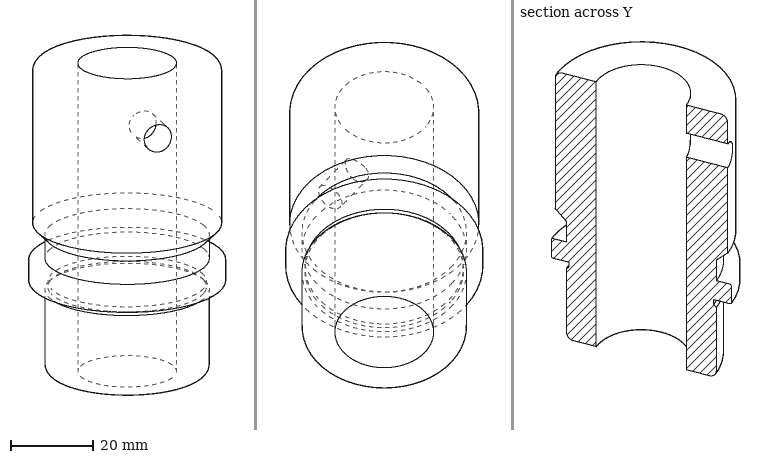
import cadquery as cq
import math

total_height = 79.0
bore_radius = 12.0

head_radius = 23.0
head_bottom_z = 38.0

seat_radius = 20.0

rim_fillet = 2.0

collar_radius = 24.0
collar_bottom_z = 23.0
collar_height = 6.0
collar_fillet = 0.5

groove_depth = 0.7
groove_floor_height = 1.3

cross_hole_radius = 3.5
cross_hole_depth_from_top = 12.0


def make_body():
    """Revolve the outer profile with rounded end rims and collar edges."""
    collar_top_z = collar_bottom_z + collar_height
    collar_face_radius = collar_radius - collar_fillet
    groove_radius = seat_radius - groove_depth
    groove_floor_z = collar_bottom_z - groove_floor_height
    seat_top_z = groove_floor_z - groove_depth
    neck_top_z = head_bottom_z - (head_radius - seat_radius)
    corner_inset = 1 - math.sqrt(0.5)
    rim_inset = rim_fillet * corner_inset
    collar_inset = collar_fillet * corner_inset
    collar_arc_radius = collar_radius - collar_inset

    profile = (
        cq.Workplane("XZ")
        .moveTo(0, 0)
        .lineTo(seat_radius - rim_fillet, 0)
        .threePointArc((seat_radius - rim_inset, rim_inset), (seat_radius, rim_fillet))
        .lineTo(seat_radius, seat_top_z)
        .lineTo(groove_radius, groove_floor_z)
        .lineTo(groove_radius, collar_bottom_z)
        .lineTo(collar_face_radius, collar_bottom_z)
        .threePointArc(
            (collar_arc_radius, collar_bottom_z + collar_inset),
            (collar_radius, collar_bottom_z + collar_fillet),
        )
        .lineTo(collar_radius, collar_top_z - collar_fillet)
        .threePointArc(
            (collar_arc_radius, collar_top_z - collar_inset),
            (collar_face_radius, collar_top_z),
        )
        .lineTo(seat_radius, collar_top_z)
        .lineTo(seat_radius, neck_top_z)
        .lineTo(head_radius, head_bottom_z)
        .lineTo(head_radius, total_height - rim_fillet)
        .threePointArc(
            (head_radius - rim_inset, total_height - rim_inset),
            (head_radius - rim_fillet, total_height),
        )
        .lineTo(0, total_height)
        .close()
    )
    return profile.revolve(360, (0, 0, 0), (0, 1, 0))


def make_bore():
    """Cylinder for the through bore along Z."""
    return cq.Workplane("XY").circle(bore_radius).extrude(total_height)


def make_cross_hole():
    """Radial cylinder from the axis out past the +X wall of the head."""
    hole_z = total_height - cross_hole_depth_from_top
    return cq.Workplane("YZ").center(0, hole_z).circle(cross_hole_radius).extrude(collar_radius)


result = make_body().cut(make_bore()).cut(make_cross_hole())